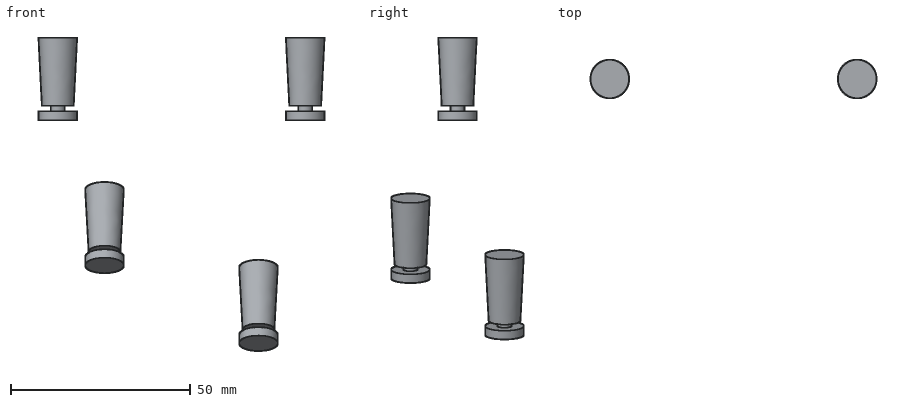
import cadquery as cq

overall_length = 79.9
overall_height = 23.1
foot_diameter = 10.9
leg_spacing = overall_length - foot_diameter

foot_thickness = 2.55
stem_diameter = 4.0
stem_length = 1.5

leg_base_z = foot_thickness + stem_length
leg_height = overall_height - leg_base_z
leg_top_diameter = foot_diameter
leg_bottom_diameter = 8.95


def make_foot(x):
    """Disc on the floor with its stem, as one solid centred at x."""
    disc = cq.Workplane("XY").center(x, 0).circle(foot_diameter / 2).extrude(foot_thickness)
    return disc.faces(">Z").workplane().circle(stem_diameter / 2).extrude(stem_length)


def make_leg(x):
    """Tapered leg that rests on the stem at x."""
    return (
        cq.Workplane("XY", origin=(x, 0, leg_base_z))
        .circle(leg_bottom_diameter / 2)
        .workplane(offset=leg_height)
        .circle(leg_top_diameter / 2)
        .loft(ruled=True)
    )


bodies = []
for leg_x in (-leg_spacing / 2, leg_spacing / 2):
    bodies.append(make_foot(leg_x).val())
    bodies.append(make_leg(leg_x).val())

result = cq.Compound.makeCompound(bodies)